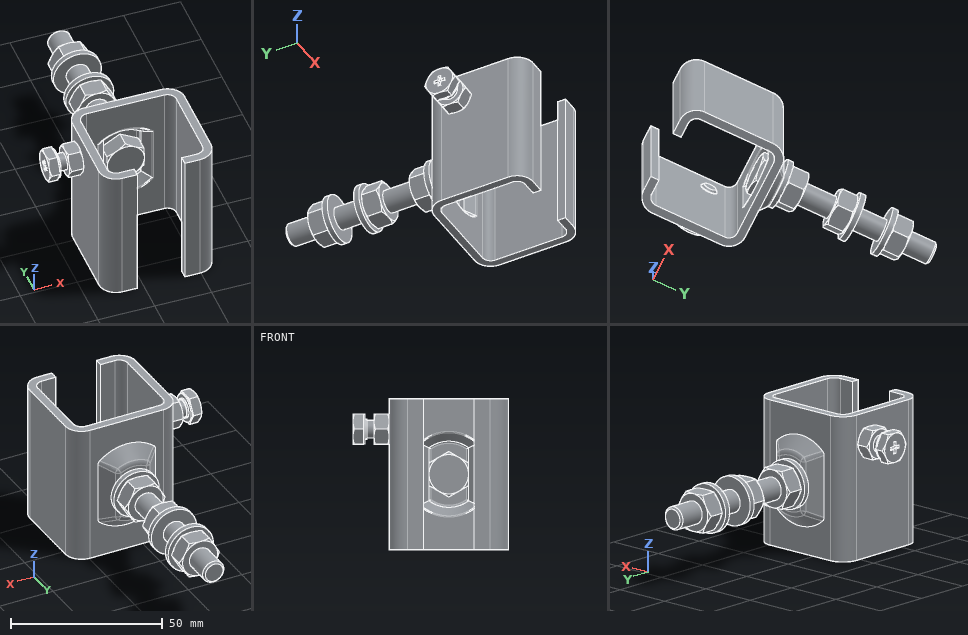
import cadquery as cq
import math


RAIL_WIDTH = 39.5
RAIL_HEIGHT = 50.0
WALL = 3.0
CORNER_RADIUS = 6.1
SLOT_WIDTH = 16.7
OVERALL_DEPTH = 99.4
RAIL_DEPTH = 37.4

BOSS_HEIGHT = 5.0
BOSS_BASE_RADIUS = 15.7
BOSS_BASE_HALF_WIDTH = 10.7
BOSS_FILLET = 2.5

POCKET_RADIUS = 10.9
POCKET_HALF_WIDTH = 6.6
POCKET_DEPTH = 2.4
POCKET_FILLET = 0.7
MOUTH_FILLET = 0.6

STUD_DIAMETER = 8.0
STUD_TIP_CHAMFER = 0.7
STUD_END = OVERALL_DEPTH - RAIL_DEPTH
STUD_HEAD_PROJECTION = 0.4
NUT_FLATS = 13.0
NUT_HEIGHT = 6.6
WASHER_DIAMETER = 16.9
WASHER_THICKNESS = 2.0
END_NUT_SETBACK = 10.0
WASHER_GAP = 9.9

SCREW_Y = -11.9
SCREW_Z = 14.9
SCREW_DIAMETER = 6.0
SCREW_FLATS = 10.0
SCREW_LENGTH = 15.9
SCREW_TIP_CHAMFER = 0.8
SCREW_HEAD_HEIGHT = 3.5
SCREW_COLLAR_DIAMETER = 9.9
SCREW_COLLAR_HEIGHT = 0.5
SCREW_NECK_DIAMETER = 6.8
SCREW_NECK_HEIGHT = 0.6
SCREW_NUT_HEIGHT = 5.0
SCREW_NUT_GAP = 3.0
RECESS_LENGTH = 4.0
RECESS_WIDTH = 1.0
RECESS_DEPTH = 1.0

CHAMFER_ANGLE = math.radians(30)


def cylinder(diameter, start, length):
    """Cylinder along local Z."""
    return cq.Workplane("XY").workplane(offset=start).circle(diameter / 2).extrude(length)


def hexagon(flats, start, height, chamfer_start=True, chamfer_end=True):
    """Hexagonal prism along local Z with corners on local X and 30-degree corner chamfers."""
    corner_radius = flats / math.sqrt(3)
    flat_radius = flats / 2
    drop = (corner_radius - flat_radius) * math.tan(CHAMFER_ANGLE)
    end = start + height
    prism = cq.Workplane("XY").workplane(offset=start).polygon(6, 2 * corner_radius).extrude(height)
    if chamfer_start:
        lower = [(flat_radius, start), (corner_radius, start + drop)]
    else:
        lower = [(corner_radius, start)]
    if chamfer_end:
        upper = [(corner_radius, end - drop), (flat_radius, end)]
    else:
        upper = [(corner_radius, end)]
    profile = [(0, start)] + lower + upper + [(0, end)]
    envelope = cq.Workplane("XZ").polyline(profile).close().revolve(360, (0, 0), (0, 1))
    return prism.intersect(envelope)


def along_y(body):
    """Turn a body from local Z to +Y, keeping its X axis."""
    return body.rotate((0, 0, 0), (1, 0, 0), -90)


def trimmed_cone(base_radius, base_half_width, base_y, height):
    """45-degree cone rising along +Y, cut on both X sides by 45-degree flats."""
    cone = along_y(
        cq.Workplane("XY")
        .circle(base_radius)
        .workplane(offset=height)
        .circle(base_radius - height)
        .loft()
    ).translate((0, base_y, 0))
    top_half_width = base_half_width - height
    top_y = base_y + height
    wedge = (
        cq.Workplane("XY")
        .polyline([
            (-base_half_width, base_y),
            (base_half_width, base_y),
            (top_half_width, top_y),
            (-top_half_width, top_y),
        ])
        .close()
        .extrude(base_radius, both=True)
    )
    return cone.intersect(wedge)


def make_rail():
    center = (0, -RAIL_DEPTH / 2)
    inner_radius = CORNER_RADIUS - WALL
    outer = (
        cq.Workplane("XY")
        .center(*center)
        .rect(RAIL_WIDTH, RAIL_DEPTH)
        .extrude(RAIL_HEIGHT / 2, both=True)
        .edges("|Z")
        .fillet(CORNER_RADIUS)
    )
    inner = (
        cq.Workplane("XY")
        .center(*center)
        .rect(RAIL_WIDTH - 2 * WALL, RAIL_DEPTH - 2 * WALL)
        .extrude(RAIL_HEIGHT / 2, both=True)
        .edges("|Z")
        .fillet(inner_radius)
    )
    slot = cq.Workplane("XY").box(SLOT_WIDTH, 2 * WALL, RAIL_HEIGHT).translate((0, -RAIL_DEPTH, 0))
    return outer.cut(inner).cut(slot)


def make_boss():
    boss = trimmed_cone(BOSS_BASE_RADIUS, BOSS_BASE_HALF_WIDTH, 0, BOSS_HEIGHT)
    return boss.edges("not(<Y)").fillet(BOSS_FILLET)


def make_pocket():
    mouth = trimmed_cone(POCKET_RADIUS + WALL, POCKET_HALF_WIDTH + WALL, -WALL, WALL)
    well = along_y(cylinder(2 * POCKET_RADIUS, 0, POCKET_DEPTH))
    sides = cq.Workplane("XY").box(2 * POCKET_HALF_WIDTH, 2 * POCKET_DEPTH, 2 * POCKET_RADIUS)
    well = well.intersect(sides).faces(">Y").edges().fillet(POCKET_FILLET)
    return mouth.union(well)


def make_stud():
    head_start = -WALL - STUD_HEAD_PROJECTION
    stud = cylinder(STUD_DIAMETER, 0, STUD_END).faces(">Z").chamfer(STUD_TIP_CHAMFER)
    head = hexagon(NUT_FLATS, head_start, POCKET_DEPTH - head_start, chamfer_end=False)
    stud = stud.union(head.rotate((0, 0, 0), (0, 0, 1), 30))

    end_nut = STUD_END - END_NUT_SETBACK - NUT_HEIGHT
    end_washer = end_nut - WASHER_THICKNESS
    middle_washer = end_washer - WASHER_GAP - WASHER_THICKNESS
    middle_nut = middle_washer - NUT_HEIGHT
    boss_washer = BOSS_HEIGHT
    boss_nut = boss_washer + WASHER_THICKNESS

    for start in (end_nut, middle_nut, boss_nut):
        stud = stud.union(hexagon(NUT_FLATS, start, NUT_HEIGHT))
    for start in (end_washer, middle_washer, boss_washer):
        stud = stud.union(cylinder(WASHER_DIAMETER, start, WASHER_THICKNESS))
    return along_y(stud)


def make_screw():
    """Screw along local Z from its head, moved to point along +X through the side wall."""
    collar_end = SCREW_HEAD_HEIGHT + SCREW_COLLAR_HEIGHT
    nut_start = collar_end + SCREW_NUT_GAP
    screw = cylinder(SCREW_DIAMETER, 0, SCREW_LENGTH).faces(">Z").chamfer(SCREW_TIP_CHAMFER)
    screw = screw.union(hexagon(SCREW_FLATS, 0, SCREW_HEAD_HEIGHT, chamfer_end=False))
    screw = screw.union(cylinder(SCREW_COLLAR_DIAMETER, SCREW_HEAD_HEIGHT, SCREW_COLLAR_HEIGHT))
    screw = screw.union(cylinder(SCREW_NECK_DIAMETER, collar_end, SCREW_NECK_HEIGHT))
    screw = screw.union(hexagon(SCREW_FLATS, nut_start, SCREW_NUT_HEIGHT))
    for size in ((RECESS_LENGTH, RECESS_WIDTH), (RECESS_WIDTH, RECESS_LENGTH)):
        screw = screw.cut(cq.Workplane("XY").rect(*size).extrude(RECESS_DEPTH))

    head_x = -RAIL_WIDTH / 2 - nut_start - SCREW_NUT_HEIGHT
    corners_to_y = screw.rotate((0, 0, 0), (0, 0, 1), 90)
    return corners_to_y.rotate((0, 0, 0), (0, 1, 0), 90).translate((head_x, SCREW_Y, SCREW_Z))


def round_pocket_mouth(body):
    """Round the pocket's rim on the inner face of the back wall."""
    reach = POCKET_RADIUS + WALL + MOUTH_FILLET
    rim = cq.selectors.BoxSelector(
        (-reach, -WALL - MOUTH_FILLET, -reach),
        (reach, -WALL + MOUTH_FILLET, reach),
        boundingbox=True,
    )
    return body.edges(rim).fillet(MOUTH_FILLET)


embossed_rail = round_pocket_mouth(make_rail().union(make_boss()).cut(make_pocket()))
result = embossed_rail.union(make_stud()).union(make_screw())